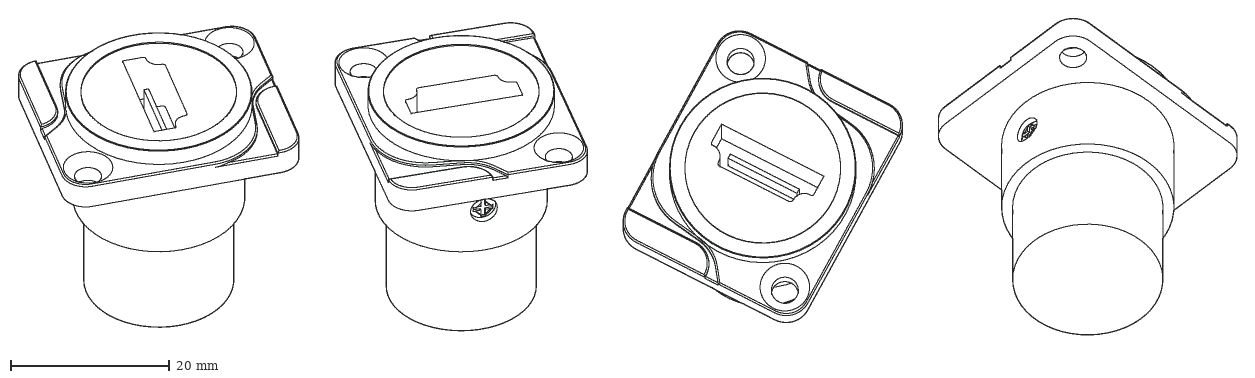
import cadquery as cq
flange_width = 26.0
flange_length = 31
flange_thickness = 3.5
corner_radius = 3.1
edge_chamfer = 0.22
half_width = flange_width / 2
half_length = flange_length / 2

ring_diameter = 23.6
ring_height = 2.25
ring_chamfer = 0.1
insert_diameter = 19.7
insert_recess = 0.2
body_diameter = 21.8
body_length = 11.5
sleeve_diameter = 19.0
sleeve_length = 13.5
ring_top = flange_thickness + ring_height
insert_face = ring_top - insert_recess

hole_x = 9.5
hole_y = 11.97
hole_diameter = 3.4
countersink_diameter = 6.25
countersink_angle = 90

groove_depth = 0.5
sweep_corner = (-half_width, -10.05)
sweep_radius = 7.3
bend_corner = (-0.85, -11.87)
bend_radius = 5.27
groove_exit = (1.83, -half_length)
front_pad_corner = (-0.12, -12.43)
front_pad_radius = 3.25
rear_pad_corner = (0.1, 11.97)
rear_pad_radius = 3.2

socket_half_width = 7.32
socket_bottom_y = -2.7
socket_shoulder_y = 0.28
socket_top_y = 2.3
socket_top_half_width = 5.33
socket_depth = 6.82
socket_top_rounding = 0.4
socket_notch_rounding = 1.58
socket_shoulder_rounding = 0.28
tongue_width = 9.85
tongue_thickness = 0.62
tongue_center_y = -0.25
tongue_setback = 3.3

screw_diameter = 3.5
screw_z = -5.25
screw_pocket_depth = 0.9
screw_head_height = 0.8
cross_length = 2.6
cross_width = 0.6
cross_depth = 0.75
cross_center_depth = 0.43


def cylinder(diameter, bottom_z, height):
    return cq.Workplane("XY").workplane(offset=bottom_z).circle(diameter / 2).extrude(height)


def turned(point):
    """The point turned half a turn about the part axis."""
    return (-point[0], -point[1])


def round_corner(prism, corner, radius):
    """Round the vertical edge of the prism that stands at the given corner."""
    middle_z = prism.val().Center().z
    edge = cq.selectors.NearestToPointSelector((corner[0], corner[1], middle_z))
    return prism.edges("|Z").edges(edge).fillet(radius)


def plate_blank(bottom_z, top_z):
    blank = cq.Workplane("XY").workplane(offset=bottom_z).rect(flange_width, flange_length)
    return blank.extrude(top_z - bottom_z).edges("|Z").fillet(corner_radius)


def flange():
    floor_z = flange_thickness - groove_depth
    floor_plate = plate_blank(0, floor_z).faces(">Z").edges().chamfer(edge_chamfer)

    raised_bottom_z = floor_z - edge_chamfer
    raised_height = flange_thickness - raised_bottom_z
    raised_plane = cq.Workplane("XY").workplane(offset=raised_bottom_z)

    front_corners = [sweep_corner, bend_corner, groove_exit, (half_width, -half_length)]
    outline = front_corners + [turned(point) for point in front_corners]
    center = raised_plane.polyline(outline).close().extrude(raised_height)
    for corner, radius in ((sweep_corner, sweep_radius), (bend_corner, bend_radius)):
        center = round_corner(center, corner, radius)
        center = round_corner(center, turned(corner), radius)

    def pad(inner_corner, outer_corner, radius):
        width = abs(outer_corner[0] - inner_corner[0])
        length = abs(outer_corner[1] - inner_corner[1])
        middle_x = (inner_corner[0] + outer_corner[0]) / 2
        middle_y = (inner_corner[1] + outer_corner[1]) / 2
        block = raised_plane.center(middle_x, middle_y).rect(width, length).extrude(raised_height)
        return round_corner(block, inner_corner, radius)

    front_pad = pad(front_pad_corner, (-flange_width, -flange_length), front_pad_radius)
    rear_pad = pad(rear_pad_corner, (flange_width, flange_length), rear_pad_radius)

    plate = floor_plate
    for area in (center, front_pad, rear_pad):
        area = area.intersect(plate_blank(raised_bottom_z, flange_thickness))
        plate = plate.union(area.faces(">Z").edges().chamfer(edge_chamfer))
    return plate


def drill_mounting_holes(part):
    return (
        part.faces(">Z")
        .workplane(origin=(0, 0, flange_thickness))
        .pushPoints([(-hole_x, hole_y), (hole_x, -hole_y)])
        .cskHole(hole_diameter, countersink_diameter, countersink_angle)
    )


def ring():
    insert_pocket = cylinder(insert_diameter, insert_face, insert_recess)
    blank = cylinder(ring_diameter, flange_thickness, ring_height)
    return blank.faces(">Z").edges().chamfer(ring_chamfer).cut(insert_pocket)


def socket():
    """Cutter for the HDMI opening, leaving the contact tongue standing on its floor."""
    floor_z = insert_face - socket_depth
    plane = cq.Workplane("XY").workplane(offset=floor_z)
    right_side = [
        (socket_half_width, socket_bottom_y),
        (socket_half_width, socket_shoulder_y),
        (socket_top_half_width, socket_shoulder_y),
        (socket_top_half_width, socket_top_y),
    ]
    left_side = [(-x, y) for x, y in reversed(right_side)]
    opening = plane.polyline(right_side + left_side).close().extrude(socket_depth)
    corner_roundings = [
        (socket_shoulder_rounding, right_side[1]),
        (socket_notch_rounding, right_side[2]),
        (socket_top_rounding, right_side[3]),
    ]
    for radius, (x, y) in corner_roundings:
        opening = round_corner(opening, (x, y), radius)
        opening = round_corner(opening, (-x, y), radius)
    tongue = (
        plane.center(0, tongue_center_y)
        .rect(tongue_width, tongue_thickness)
        .extrude(socket_depth - tongue_setback)
    )
    return opening.cut(tongue)


def front_plane(y):
    """Sketch plane facing -Y at the given y, centred on the screw axis."""
    return cq.Workplane("XZ", origin=(0, y, screw_z))


def sink_screw(part):
    pocket_floor_y = -body_diameter / 2 + screw_pocket_depth
    pocket = front_plane(pocket_floor_y).circle(screw_diameter / 2).extrude(screw_pocket_depth)

    head_top_y = pocket_floor_y - screw_head_height
    half_screw = screw_diameter / 2
    dome_radius = (half_screw**2 + screw_head_height**2) / (2 * screw_head_height)
    sphere = cq.Workplane("XY").sphere(dome_radius).translate((0, head_top_y + dome_radius, screw_z))
    head = pocket.intersect(sphere)

    cross_plane = front_plane(head_top_y + cross_depth)
    upright_arm = cross_plane.rect(cross_width, cross_length).extrude(cross_depth)
    level_arm = cross_plane.rect(cross_length, cross_width).extrude(cross_depth)
    center_recess = (
        front_plane(head_top_y + cross_center_depth)
        .polygon(4, cross_length)
        .extrude(cross_center_depth)
    )
    head = head.cut(upright_arm).cut(level_arm).cut(center_recess)
    return part.cut(pocket).union(head)


body = cylinder(body_diameter, -body_length, body_length)
sleeve = cylinder(sleeve_diameter, -body_length - sleeve_length, sleeve_length)
result = drill_mounting_holes(flange())
result = result.union(ring()).union(body).union(sleeve)
result = sink_screw(result.cut(socket()))